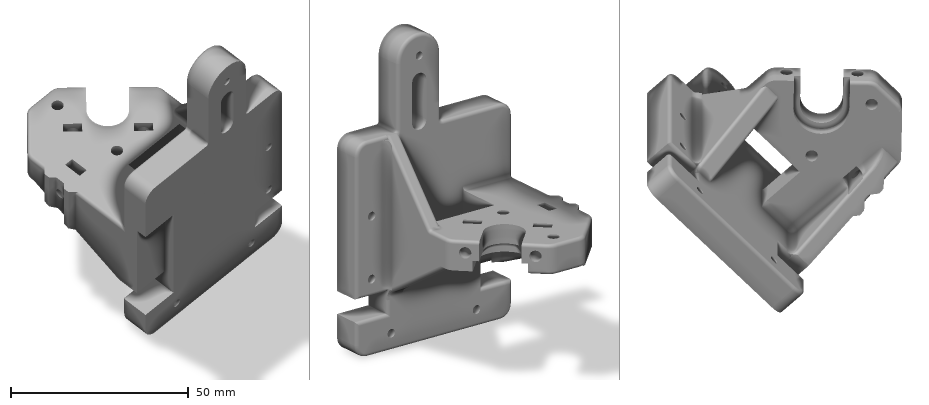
import cadquery as cq
import math

PART_LENGTH = 58.3
PLATE_THICKNESS = 9.0
PLATE_FRONT = PART_LENGTH - PLATE_THICKNESS
PLATE_WIDTH = 55.1
PLATE_TOP = 65.1
PLATE_CORNER = 4.0
TONGUE_TOP = 93.4
TONGUE_RADIUS = 7.6
TONGUE_Y = 32.9
TONGUE_ROOT_FILLET = 0.8
NOTCH_BOTTOM = 11.1
NOTCH_TOP = 18.0
NOTCH_RIGHT_Y = 11.2
NOTCH_LEFT_Y = 44.1
SLOT_DIAMETER = 5.0
SLOT_BOTTOM = 64.3
SLOT_TOP = 81.5
TONGUE_HOLE = (TONGUE_Y, 86.75)
TONGUE_HOLE_DIAMETER = 2.4
PLATE_HOLE_DIAMETER = 2.6
PLATE_HOLES = [(49.7, 42.2), (49.7, 23.2), (42.8, 5.1), (12.6, 5.1)]
POCKET_DEPTH = 3.4
POCKET_TOP = 46.1

SHELF_TOP = 42.5
SHELF_THICKNESS = 9.1
SHELF_BOTTOM = SHELF_TOP - SHELF_THICKNESS
SHELF_WIDTH = NOTCH_LEFT_Y
CORNER_CUT = 11.95
FACE_OFFSET = 23.25
SHELF_CORNER = 4.0
RIGHT_SLOPE_START = 12.5
LEFT_SLOPE_START = 22.9
WALL_FOOT = 17.4
RIGHT_WALL = 5.3
LEFT_WALL_Y = 38.0
WINDOW_X = 34.55
WINDOW_Y = 17.5

RIB_THICKNESS = 4.1
RIB_START = 30.0

MOUTH_X = 16.48
MOUTH_Y = 27.69
MOUTH_WIDTH = 12.0
MOUTH_STEP_WIDTH = 15.8
MOUTH_STEP_Z = 36.6
SCREW_OFFSET = 10.0
SCREW_Z = 38.9
SCREW_DIAMETER = 3.5
NUT_WIDTH = 5.4
NUT_THICKNESS = 2.8
NUT_DISTANCE = 14.9
NUT_POCKET_DEPTH = 6.3

SHELF_HOLES = [(5.3, 18.9), (28.7, 18.9)]
SIDE_SCREW_X = 24.65
SIDE_SCREW_Z = 36.4
SIDE_SCREW_DIAMETER = 3.1
SIDE_NUT_WIDTH = 5.7
SIDE_NUT_Y = 6.4
TOOTH_SPACING = 7.6
TOOTH_TIP = 1.7
TOOTH_HEIGHT = 1.4

EDGE_FILLET = 1.0
CAVITY_FILLET = 2.0
ARM_END = PLATE_FRONT + CAVITY_FILLET

RIB_INNER_Y = SHELF_WIDTH - RIB_THICKNESS
TOOTH_X = (SIDE_SCREW_X - TOOTH_SPACING / 2, SIDE_SCREW_X + TOOTH_SPACING / 2)
TEETH_END = TOOTH_X[1] + TOOTH_TIP / 2 + TOOTH_HEIGHT


def box(x, y, z):
    """Box given by its (start, end) along each axis."""
    size = cq.Workplane("XY").box(x[1] - x[0], y[1] - y[0], z[1] - z[0], centered=False)
    return size.translate((x[0], y[0], z[0]))


def fillet_at(body, radius, points):
    """Round the edges whose middles lie nearest to the given points."""
    edges = cq.Workplane("XY")
    for point in points:
        edges = edges.add(body.edges(cq.NearestToPointSelector(point)))
    return body.newObject(edges.vals()).fillet(radius)


def make_plate():
    notch_z = (NOTCH_BOTTOM, NOTCH_TOP)
    plate_x = (PLATE_FRONT, PART_LENGTH)
    tongue_center = TONGUE_TOP - TONGUE_RADIUS
    plate = box(plate_x, (0, PLATE_WIDTH), (0, PLATE_TOP)).edges("|X").fillet(PLATE_CORNER)
    tongue = box(
        plate_x,
        (TONGUE_Y - TONGUE_RADIUS, TONGUE_Y + TONGUE_RADIUS),
        (PLATE_TOP - PLATE_CORNER, tongue_center),
    )
    tip = (
        cq.Workplane("YZ", origin=(PLATE_FRONT, TONGUE_Y, tongue_center))
        .circle(TONGUE_RADIUS)
        .extrude(PLATE_THICKNESS)
    )
    plate = plate.union(tongue.union(tip))
    root_x = PART_LENGTH - PLATE_THICKNESS / 2
    roots = [(root_x, TONGUE_Y + side * TONGUE_RADIUS, PLATE_TOP) for side in (-1, 1)]
    plate = fillet_at(plate, TONGUE_ROOT_FILLET, roots)
    plate = plate.cut(box(plate_x, (0, NOTCH_RIGHT_Y), notch_z))
    plate = plate.cut(box(plate_x, (NOTCH_LEFT_Y, PLATE_WIDTH), notch_z))
    square_edges = plate.edges(cq.NearestToPointSelector((PLATE_FRONT, NOTCH_RIGHT_Y / 2, NOTCH_TOP))).add(
        plate.edges(cq.NearestToPointSelector((PLATE_FRONT, NOTCH_RIGHT_Y, (NOTCH_BOTTOM + NOTCH_TOP) / 2)))
    )
    front_edges = plate.faces("<X").edges().vals()
    rounded = [edge for edge in front_edges if not any(edge.isSame(kept) for kept in square_edges.vals())]
    return plate.newObject(rounded).fillet(EDGE_FILLET)


def extrude_side(points, width):
    """Side profile in the XZ plane, extruded from y = 0."""
    return cq.Workplane("XZ").polyline(points).close().extrude(-width)


def outline_prism(bottom):
    """Shelf outline with rounded corners, from the given height up to the shelf top."""
    outline = [
        (ARM_END, 0),
        (CORNER_CUT, 0),
        (0, CORNER_CUT),
        (0, FACE_OFFSET),
        (SHELF_WIDTH - FACE_OFFSET, SHELF_WIDTH),
        (ARM_END, SHELF_WIDTH),
    ]
    prism = cq.Workplane("XY", origin=(0, 0, bottom)).polyline(outline).close().extrude(SHELF_TOP - bottom)
    return prism.edges("|Z and (not >X)").fillet(SHELF_CORNER)


def make_upper_arm():
    """Shelf outline with the gusset rib on top and every upper edge rounded."""
    slab = outline_prism(0)
    rib_side = [
        (RIB_START, SHELF_TOP),
        (PLATE_FRONT, PLATE_TOP),
        (ARM_END, PLATE_TOP),
        (ARM_END, SHELF_TOP),
    ]
    rib = extrude_side(rib_side, RIB_THICKNESS).translate((0, RIB_INNER_Y, 0))
    rib_x = (RIB_START + PLATE_FRONT) / 2
    rib_z = (SHELF_TOP + PLATE_TOP) / 2
    rib_y = (RIB_INNER_Y + SHELF_WIDTH) / 2
    rib_edges = [
        (rib_x, SHELF_WIDTH, rib_z),
        (rib_x, RIB_INNER_Y, rib_z),
        (rib_x, RIB_INNER_Y, SHELF_TOP),
        (RIB_START, rib_y, SHELF_TOP),
    ]
    rim = slab.edges(">Z and (not >X)").vals()
    rim_points = [edge.Center().toTuple() for edge in rim]
    rim_points = [point for point in rim_points if point[0] < RIB_START or point[1] < rib_y]
    rim_points.append(((CORNER_CUT + FACE_OFFSET) / 2, SHELF_WIDTH, SHELF_TOP))
    return fillet_at(slab.union(rib), EDGE_FILLET, rim_points + rib_edges)


def slope_middle(start):
    """Middle (x, z) of an underside slope that begins at the given x."""
    return (start + PLATE_FRONT) / 2, (SHELF_BOTTOM + WALL_FOOT) / 2


def underside(start, width):
    """Everything above the shelf bottom and above a slope down to the wall foot."""
    side = [
        (0, PLATE_TOP),
        (0, SHELF_BOTTOM),
        (start, SHELF_BOTTOM),
        (PLATE_FRONT, WALL_FOOT),
        (PLATE_FRONT, WALL_FOOT - CAVITY_FILLET),
        (ARM_END, WALL_FOOT - CAVITY_FILLET),
        (ARM_END, PLATE_TOP),
    ]
    return extrude_side(side, width)


def make_lower_profile():
    """Undersides of both walls, each with its outer edge rounded and a concave foot on the plate."""
    right_x, right_z = slope_middle(RIGHT_SLOPE_START)
    sharp = underside(RIGHT_SLOPE_START, LEFT_WALL_Y)
    right = fillet_at(sharp, EDGE_FILLET, [(right_x, 0, right_z)])
    plain_end = box((TEETH_END, ARM_END), (0, RIGHT_WALL), (0, SHELF_TOP))
    right = right.union(sharp.intersect(plain_end))
    right = fillet_at(right, CAVITY_FILLET, [(PLATE_FRONT, LEFT_WALL_Y / 2, WALL_FOOT)])

    left_x, left_z = slope_middle(LEFT_SLOPE_START)
    left_width = SHELF_WIDTH - LEFT_WALL_Y
    left = underside(LEFT_SLOPE_START, left_width)
    left = fillet_at(left, EDGE_FILLET, [(left_x, left_width, left_z)])
    left = fillet_at(left, CAVITY_FILLET, [(PLATE_FRONT, left_width / 2, WALL_FOOT)])
    return right.union(left.translate((0, LEFT_WALL_Y, 0)))


def make_cavity():
    """Space between the side walls, below the shelf."""
    block = box((0, PLATE_FRONT), (RIGHT_WALL, LEFT_WALL_Y), (0, SHELF_BOTTOM))
    corners = [
        (PLATE_FRONT / 2, RIGHT_WALL, SHELF_BOTTOM),
        (PLATE_FRONT, RIGHT_WALL, SHELF_BOTTOM / 2),
        (PLATE_FRONT, (RIGHT_WALL + LEFT_WALL_Y) / 2, SHELF_BOTTOM),
    ]
    return fillet_at(block, CAVITY_FILLET, corners)


def make_lip_cut():
    """Waste removed to round the lower edge of the lobe on the near side of the mouth."""
    rounded = outline_prism(SHELF_BOTTOM).faces("<Z").edges("not >X").fillet(EDGE_FILLET)
    corner = box((0, MOUTH_X), (CORNER_CUT, MOUTH_Y + 1.9), (SHELF_BOTTOM, SHELF_BOTTOM + EDGE_FILLET))
    return corner.cut(rounded)


def make_arm():
    arm = make_upper_arm().intersect(make_lower_profile()).cut(make_cavity())
    arm = arm.cut(box((WINDOW_X, PLATE_FRONT), (WINDOW_Y, LEFT_WALL_Y), (0, SHELF_TOP)))
    for start, inner_y in ((RIGHT_SLOPE_START, RIGHT_WALL), (LEFT_SLOPE_START, LEFT_WALL_Y)):
        x, z = slope_middle(start)
        arm = fillet_at(arm, EDGE_FILLET, [(x, inner_y, z)])
    return arm.cut(make_lip_cut())


def make_teeth():
    """Two tapered vertical teeth on the side of the shelf, following the sloped underside."""
    root_half = TOOTH_TIP / 2 + TOOTH_HEIGHT + EDGE_FILLET
    teeth = box((TOOTH_X[0], TOOTH_X[1]), (0, EDGE_FILLET), (SHELF_TOP - EDGE_FILLET, SHELF_TOP))
    for x in TOOTH_X:
        section = [
            (x - root_half, EDGE_FILLET),
            (x - TOOTH_TIP / 2, -TOOTH_HEIGHT),
            (x + TOOTH_TIP / 2, -TOOTH_HEIGHT),
            (x + root_half, EDGE_FILLET),
        ]
        teeth = teeth.union(cq.Workplane("XY").polyline(section).close().extrude(SHELF_TOP))
    reach = underside(RIGHT_SLOPE_START, TOOTH_HEIGHT + EDGE_FILLET).translate((0, -TOOTH_HEIGHT, 0))
    return teeth.intersect(reach)


def corner_prism(plane, corner, directions, length):
    """Prism between a square corner and the concave arc that is tangent to both of its sides."""
    radius = CAVITY_FILLET
    across, up = directions
    bow = radius * (1 - math.sqrt(0.5))
    return (
        cq.Workplane(plane, origin=corner)
        .lineTo(across * radius, 0)
        .threePointArc((across * bow, up * bow), (0, up * radius))
        .close()
        .extrude(length)
    )


def make_side_cove():
    """Concave rounding between the plate and the outside of the left wall and rib."""
    start = NOTCH_TOP + EDGE_FILLET
    cove = corner_prism("XY", (PLATE_FRONT, SHELF_WIDTH, start), (-1, 1), PLATE_TOP - EDGE_FILLET - start)
    below_rib = [(RIB_START, 0), (RIB_START, SHELF_TOP), (PLATE_FRONT, PLATE_TOP), (PLATE_FRONT, 0)]
    return cove.intersect(extrude_side(below_rib, PLATE_WIDTH))


def make_notch_lip():
    """Waste removed to round the front lip of the right-hand notch."""
    corner = (PLATE_FRONT, RIGHT_WALL, NOTCH_TOP)
    return corner_prism("XZ", corner, (1, 1), RIGHT_WALL - NOTCH_RIGHT_Y)


def along_mouth(solid):
    """Place a solid modelled with the mouth center at the origin and the open end toward -X."""
    return solid.rotate((0, 0, 0), (0, 0, 1), -45).translate((MOUTH_X, MOUTH_Y, 0))


def make_mouth(width, bottom, top):
    opening = box((-MOUTH_X, 0), (-width / 2, width / 2), (bottom, top))
    end = cq.Workplane("XY", origin=(0, 0, bottom)).circle(width / 2).extrude(top - bottom)
    return along_mouth(opening.union(end))


def make_clamp_screws():
    """Screw holes from the angled face, each ending in a square-cut nut pocket."""
    face = -(FACE_OFFSET + MOUTH_X - MOUTH_Y) / math.sqrt(2)
    nut_start = face + NUT_DISTANCE - NUT_THICKNESS / 2
    nut_end = nut_start + NUT_THICKNESS
    cuts = cq.Workplane("XY")
    for y in (-SCREW_OFFSET, SCREW_OFFSET):
        screw = (
            cq.Workplane("YZ", origin=(face - 0.9, y, SCREW_Z))
            .circle(SCREW_DIAMETER / 2)
            .extrude(nut_end - face + 0.9)
        )
        nut = box(
            (nut_start, nut_end),
            (y - NUT_WIDTH / 2, y + NUT_WIDTH / 2),
            (SHELF_TOP - NUT_POCKET_DEPTH, SHELF_TOP),
        )
        cuts = cuts.add(along_mouth(screw.union(nut)))
    return cuts.combine()


def make_side_screw():
    """Screw hole between the teeth and the nut slot that crosses it."""
    nut = box(
        (SIDE_SCREW_X - SIDE_NUT_WIDTH / 2, SIDE_SCREW_X + SIDE_NUT_WIDTH / 2),
        (SIDE_NUT_Y - NUT_THICKNESS / 2, SIDE_NUT_Y + NUT_THICKNESS / 2),
        (0, SHELF_TOP),
    )
    screw = (
        cq.Workplane("XZ", origin=(SIDE_SCREW_X, 0, SIDE_SCREW_Z))
        .circle(SIDE_SCREW_DIAMETER / 2)
        .extrude(-SIDE_NUT_Y)
    )
    return nut.union(screw)


def make_plate_holes():
    face = cq.Workplane("YZ", origin=(PLATE_FRONT, 0, 0))
    slot = (
        face.center(TONGUE_Y, (SLOT_BOTTOM + SLOT_TOP) / 2)
        .slot2D(SLOT_TOP - SLOT_BOTTOM, SLOT_DIAMETER, 90)
        .extrude(PLATE_THICKNESS)
    )
    tongue_hole = face.pushPoints([TONGUE_HOLE]).circle(TONGUE_HOLE_DIAMETER / 2).extrude(PLATE_THICKNESS)
    holes = face.pushPoints(PLATE_HOLES).circle(PLATE_HOLE_DIAMETER / 2).extrude(PLATE_THICKNESS)
    return slot.union(tongue_hole).union(holes)


body = make_plate().union(make_arm())
inside_corners = [
    (PLATE_FRONT, WINDOW_Y / 2, SHELF_TOP),
    (PLATE_FRONT, RIB_INNER_Y, (SHELF_TOP + PLATE_TOP) / 2),
]
body = fillet_at(body, EDGE_FILLET, inside_corners)
body = body.union(make_side_cove()).union(make_teeth())

body = body.cut(box((TEETH_END, PART_LENGTH), (0, NOTCH_RIGHT_Y), (NOTCH_BOTTOM, NOTCH_TOP)))
body = body.cut(box((PART_LENGTH - POCKET_DEPTH, PART_LENGTH), (0, NOTCH_RIGHT_Y), (NOTCH_TOP, POCKET_TOP)))
body = body.cut(make_notch_lip())

body = body.cut(make_mouth(MOUTH_WIDTH, SHELF_BOTTOM, SHELF_TOP))
body = body.cut(make_mouth(MOUTH_STEP_WIDTH, 0, MOUTH_STEP_Z))
body = body.cut(make_clamp_screws())
body = body.cut(make_side_screw())
shelf_holes = cq.Workplane("XY").pushPoints(SHELF_HOLES).circle(SCREW_DIAMETER / 2).extrude(SHELF_TOP)
result = body.cut(shelf_holes).cut(make_plate_holes())